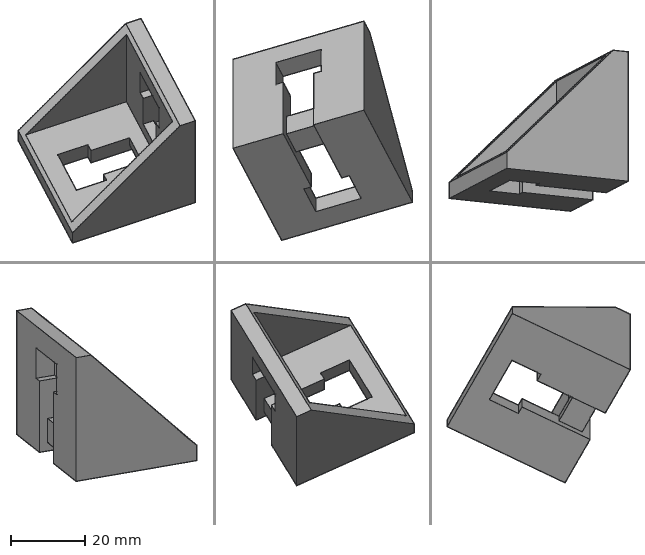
import cadquery as cq

width = 38.0
leg = 36.0
lip = 4.5
plate_thickness = 5.47
side_wall = 2.9

slot_start = 9.5
slot_step = 20.8
slot_end = 29.6
narrow_width = 8.8
wide_width = 13.15

groove_depth = 2.45

back = leg / 2


def wedge():
    """Solid triangular body with blunt ends, centred on X."""
    profile = [
        (back, 0),
        (back, leg),
        (back - lip, leg),
        (back - leg, lip),
        (back - leg, 0),
    ]
    return cq.Workplane("YZ").polyline(profile).close().extrude(width / 2, both=True)


def pocket():
    """Space between the side walls, above the base and in front of the back plate."""
    return cq.Workplane("XY").box(
        width - 2 * side_wall, leg, leg, centered=(True, False, False)
    ).translate((0, back - plate_thickness - leg, plate_thickness))


def base_slot():
    """Stepped slot through the base plate, wider towards the front."""
    half_narrow = narrow_width / 2
    half_wide = wide_width / 2
    outline = [
        (-half_narrow, back - slot_start),
        (half_narrow, back - slot_start),
        (half_narrow, back - slot_step),
        (half_wide, back - slot_step),
        (half_wide, back - slot_end),
        (-half_wide, back - slot_end),
        (-half_wide, back - slot_step),
        (-half_narrow, back - slot_step),
    ]
    return cq.Workplane("XY").polyline(outline).close().extrude(plate_thickness)


def base_groove():
    """Shallow groove under the base plate, running from the slot out through the corner edge."""
    return cq.Workplane("XY").box(
        narrow_width, slot_step, groove_depth, centered=(True, False, False)
    ).translate((0, back - slot_step, 0))


def turned_to_back(base_cutter):
    """Cutter for the back plate, matching a base cutter that is symmetric in X."""
    corner_start = (0, back, 0)
    corner_end = (1, back, 0)
    cutter_height = base_cutter.val().BoundingBox().zlen
    return base_cutter.rotate(corner_start, corner_end, -90).translate((0, -cutter_height, 0))


result = wedge().cut(pocket())
for cutter in (base_slot(), base_groove()):
    result = result.cut(cutter).cut(turned_to_back(cutter))